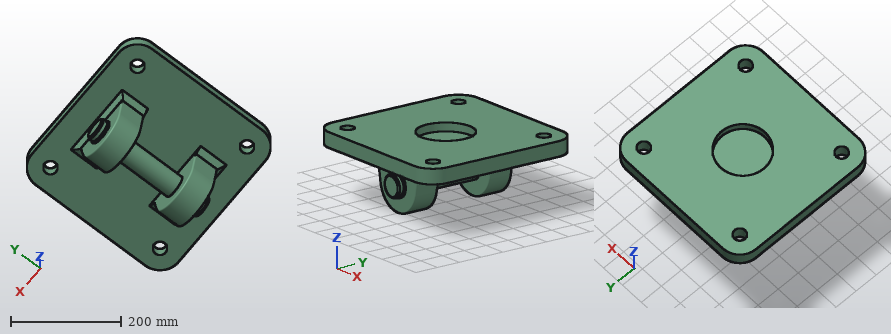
import cadquery as cq
import math


plate_size = 340.0
plate_thickness = 30.0
bolt_inset = 43.0
bolt_hole_diameter = 26.0
recess_diameter = 110.0
recess_depth = 17.0

lug_gap = 120.0
lug_thickness = 50.0
lug_radius = 54.0
lug_taper = math.radians(10.0)
lug_edge_fillet = 3.0
pin_axis_z = -50.0

weld_leg = 10.0
weld_angle = math.radians(45.0)
weld_overrun = 2 * lug_edge_fillet

pin_diameter = 45.0
pin_length = 250.0
pin_chamfer = 3.0

ring_thickness = 3.0
ring_outer_radius = 24.2
groove_radius = 21.25
ear_radius = 26.6
ear_half_width = 13.2
ring_gap = 4.0
ring_gap_direction = 232.0

lug_inner_y = lug_gap / 2
lug_outer_y = lug_inner_y + lug_thickness
root_half_width = (lug_radius - pin_axis_z * math.sin(lug_taper)) / math.cos(lug_taper)
tangent_x = lug_radius * math.cos(lug_taper)
tangent_z = pin_axis_z - lug_radius * math.sin(lug_taper)
bolt_pitch = plate_size - 2 * bolt_inset


def cylinder_along_y(radius, y_start, y_end):
    """Cylinder on the pin axis between two Y positions."""
    start = cq.Vector(0, y_start, pin_axis_z)
    solid = cq.Solid.makeCylinder(radius, y_end - y_start, start, cq.Vector(0, 1, 0))
    return cq.Workplane(obj=solid)


def make_plate():
    """Square plate with round corners, four bolt holes and a round recess on top."""
    return (
        cq.Workplane("XY")
        .rect(plate_size, plate_size)
        .extrude(plate_thickness)
        .edges("|Z")
        .fillet(bolt_inset)
        .faces(">Z")
        .workplane()
        .rect(bolt_pitch, bolt_pitch, forConstruction=True)
        .vertices()
        .hole(bolt_hole_diameter)
        .faces(">Z")
        .workplane()
        .hole(recess_diameter, recess_depth)
    )


def make_lug():
    """Tapered lug on the -Y side with a round end and rounded rims."""
    lug = (
        cq.Workplane("XZ", origin=(0, -lug_inner_y, 0))
        .moveTo(-root_half_width, 0)
        .lineTo(-tangent_x, tangent_z)
        .threePointArc((0, pin_axis_z - lug_radius), (tangent_x, tangent_z))
        .lineTo(root_half_width, 0)
        .close()
        .extrude(lug_thickness)
    )
    rims = lug.faces("<Y or >Y").edges("not >Z")
    return rims.fillet(lug_edge_fillet)


def make_weld():
    """Weld seam on three sides of the -Y lug, mitred at its outer corners.

    The +X and -Y seams measure their leg along the plate and the weld angle from it.
    The -X seam measures its leg along the tapered lug side and the weld angle from that side.
    """
    flat_slope = weld_angle - lug_taper
    flat_toe_x = root_half_width + weld_leg * math.sin(weld_angle) / math.sin(flat_slope)
    toe_x = root_half_width + weld_leg
    toe_y = lug_outer_y + weld_leg
    depth = weld_leg + weld_overrun
    across_x = (
        cq.Workplane("XZ", origin=(0, -lug_inner_y, 0))
        .moveTo(-flat_toe_x, 0)
        .lineTo(toe_x, 0)
        .lineTo(toe_x - depth / math.tan(weld_angle), -depth)
        .lineTo(-flat_toe_x + depth / math.tan(flat_slope), -depth)
        .close()
        .extrude(toe_y - lug_inner_y)
    )
    across_y = (
        cq.Workplane("YZ")
        .moveTo(-toe_y, 0)
        .lineTo(-lug_inner_y, 0)
        .lineTo(-lug_inner_y, -depth)
        .lineTo(-lug_outer_y, -depth)
        .lineTo(-lug_outer_y, -weld_leg * math.tan(weld_angle))
        .close()
        .extrude(flat_toe_x, both=True)
    )
    return across_x.intersect(across_y)


def make_bracket():
    """Plate with two welded lugs, the second turned half a circle about Z, bored for the pin."""
    bracket = make_plate()
    welded_lug = make_lug().union(make_weld())
    for turn in (0, 180):
        bracket = bracket.union(welded_lug.rotate((0, 0, 0), (0, 0, 1), turn))
    return bracket.cut(cylinder_along_y(pin_diameter / 2, -lug_outer_y, lug_outer_y))


def ring_start(side):
    """Lower Y end of the ring that lies against the outer face of one lug."""
    return lug_outer_y if side > 0 else -lug_outer_y - ring_thickness


def make_pin():
    """Pin with chamfered ends and a groove for each retaining ring."""
    pin = cylinder_along_y(pin_diameter / 2, -pin_length / 2, pin_length / 2)
    pin = pin.faces("<Y or >Y").edges().chamfer(pin_chamfer)
    for side in (-1, 1):
        start = ring_start(side)
        end = start + ring_thickness
        groove = cylinder_along_y(pin_diameter, start, end).cut(cylinder_along_y(groove_radius, start, end))
        pin = pin.cut(groove)
    return pin


def make_ring(side):
    """Open retaining ring with a raised ear on each side of its gap."""
    start = ring_start(side)
    end = start + ring_thickness

    def radial_slab(width):
        """Slab of the given width that reaches from the axis out past the ears at the gap."""
        slab = cq.Workplane("XY").box(2 * ear_radius, ring_thickness, width, centered=(False, False, True))
        slab = slab.rotate((0, 0, 0), (0, 1, 0), -ring_gap_direction)
        return slab.translate((0, start, pin_axis_z))

    ears = cylinder_along_y(ear_radius, start, end).intersect(radial_slab(2 * ear_half_width))
    ring = cylinder_along_y(ring_outer_radius, start, end).union(ears)
    return ring.cut(cylinder_along_y(groove_radius, start, end)).cut(radial_slab(ring_gap))


bracket = make_bracket()
pin = make_pin()
rings = [make_ring(side) for side in (-1, 1)]

result = cq.Compound.makeCompound([bracket.val(), pin.val(), *[ring.val() for ring in rings]])